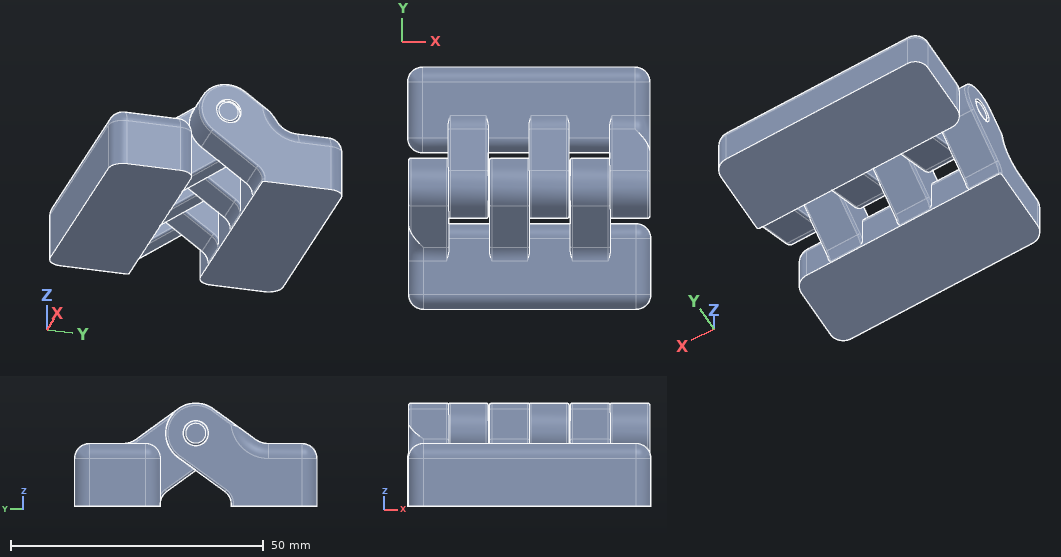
import cadquery as cq
import math


overall_height = 20.5

leaf_width = 48.0
leaf_shift = 0.1
leaf_outer_y = 24.0
leaf_inner_y = 7.0
leaf_height = 12.5
leaf_round = 3.0

knuckles_per_leaf = 3
knuckle_width = leaf_width / (2 * knuckles_per_leaf)
barrel_radius = 6.0
pin_height = overall_height - barrel_radius
arm_slope = math.radians(36)
valley_radius = 9.0 / 2
throat_radius = leaf_round
knuckle_round = 0.5

pin_diameter = 4.9
pin_hole_diameter = 5.0
pin_chamfer = 0.5
pin_recess = 0.2

leaf_left = -leaf_width / 2 + leaf_shift
sin_slope = math.sin(arm_slope)
cos_slope = math.cos(arm_slope)
valley_z = leaf_height + valley_radius
valley_y = -(barrel_radius + valley_radius - (valley_z - pin_height) * cos_slope) / sin_slope


def from_point(center, radius, angle):
    """Point in the YZ plane at a radius and angle from a centre."""
    return center[0] + radius * math.cos(angle), center[1] + radius * math.sin(angle)


def knuckle_outline():
    """Side outline of a knuckle: barrel, sloping arm and the foot buried in the leaf."""
    pin = (0, pin_height)
    valley = (valley_y, valley_z)
    upward = arm_slope + math.pi / 2
    downward = arm_slope - math.pi / 2

    throat_y = -leaf_inner_y + throat_radius
    throat_z = pin_height - (barrel_radius + throat_radius - throat_y * sin_slope) / cos_slope
    throat = (throat_y, throat_z)

    return (
        cq.Workplane("YZ")
        .moveTo(valley_y, 0)
        .lineTo(-leaf_inner_y, 0)
        .lineTo(-leaf_inner_y, throat_z)
        .threePointArc(
            from_point(throat, throat_radius, (math.pi + upward) / 2),
            from_point(throat, throat_radius, upward),
        )
        .lineTo(*from_point(pin, barrel_radius, downward))
        .threePointArc(
            from_point(pin, barrel_radius, arm_slope),
            from_point(pin, barrel_radius, upward),
        )
        .lineTo(*from_point(valley, valley_radius, downward))
        .threePointArc(
            from_point(valley, valley_radius, downward - arm_slope / 2),
            (valley_y, leaf_height),
        )
        .close()
    )


def make_knuckle():
    """Knuckle from X = 0 to its width, with the exposed side edges rounded."""
    knuckle = knuckle_outline().extrude(knuckle_width)
    buried_edges = cq.selectors.BoxSelector(
        (-knuckle_width, -leaf_outer_y, -leaf_height),
        (2 * knuckle_width, -leaf_inner_y - knuckle_round, leaf_height / 2 + knuckle_round),
    )
    side_edges = knuckle.faces("<X or >X").edges()
    return side_edges.edges(cq.selectors.InverseSelector(buried_edges)).fillet(knuckle_round)


def make_end_round():
    """Cutter that carries the rounded leaf end around the valley of the end knuckle."""
    diagonal = leaf_round * (1 - math.sqrt(0.5))
    return (
        cq.Workplane("XZ", origin=(leaf_left, valley_y, leaf_height))
        .moveTo(0, -leaf_round)
        .threePointArc((diagonal, -diagonal), (leaf_round, 0))
        .lineTo(0, 0)
        .close()
        .revolve(90, (0, valley_radius), (1, valley_radius))
    )


def make_leaf():
    """Front leaf: rounded block with knuckles in every second place from the -X end."""
    leaf = (
        cq.Workplane("XY")
        .box(leaf_width, leaf_outer_y - leaf_inner_y, leaf_height, centered=False)
        .translate((leaf_left, -leaf_outer_y, 0))
        .edges("|Z or >Z")
        .fillet(leaf_round)
    )
    knuckle = make_knuckle()
    for index in range(knuckles_per_leaf):
        placed = knuckle.translate((leaf_left + 2 * index * knuckle_width, 0, 0))
        if index == 0:
            placed = placed.cut(make_end_round())
        leaf = leaf.union(placed)
    return leaf


def pin_cylinder(diameter, start_x, length):
    """Cylinder on the pin axis, running along +X from its start."""
    return (
        cq.Workplane("YZ", origin=(start_x, 0, pin_height))
        .circle(diameter / 2)
        .extrude(length)
    )


front_leaf = make_leaf()
back_leaf = front_leaf.rotate((0, 0, 0), (0, 0, 1), 180)

pin_left = leaf_left + pin_recess
pin = pin_cylinder(pin_diameter, pin_left, -2 * pin_left).faces("<X or >X").edges().chamfer(pin_chamfer)
hole_mouth = pin_cylinder(pin_hole_diameter, leaf_left, pin_recess + pin_chamfer)
far_hole_mouth = hole_mouth.rotate((0, 0, 0), (0, 0, 1), 180)

result = front_leaf.union(back_leaf).cut(hole_mouth).cut(far_hole_mouth).union(pin)